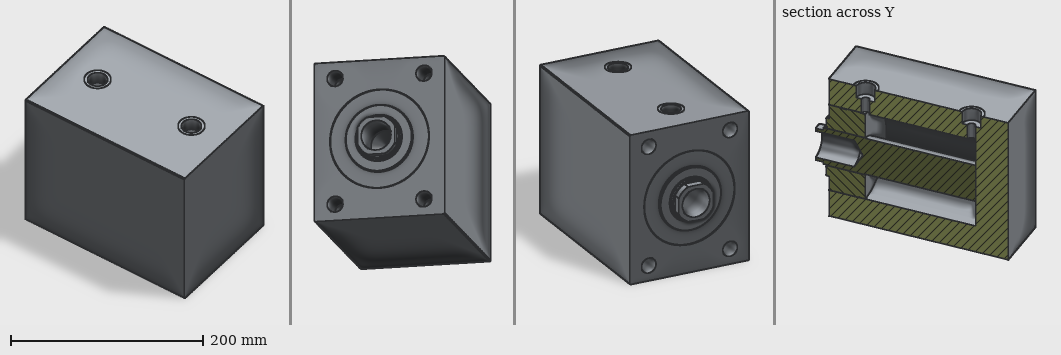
import cadquery as cq
import math

TOTAL_LENGTH = 220.0
BLOCK_WIDTH = 140.0
BLOCK_HEIGHT = 170.0
ROD_PROJECTION = 15.0
BLOCK_LENGTH = TOTAL_LENGTH - ROD_PROJECTION
BLOCK_EDGE_CHAMFER = 1.0

BOLT_DIAMETER = 17.0
BOLT_DEPTH = 35.2
BOLT_SPACING_Y = 95.0
BOLT_SPACING_Z = 135.0
DRILL_POINT_ANGLE = 118.0

PORT_SPACING = 121.0
PORT_INSET = (BLOCK_LENGTH - PORT_SPACING) / 2
SPOTFACE_DIAMETER = 28.0
SPOTFACE_DEPTH = 0.2
PORT_DIAMETER = 21.0
PORT_DEPTH = 14.7
OIL_HOLE_DIAMETER = 8.8

BORE_DIAMETER = 105.2
BORE_DEPTH = PORT_INSET + PORT_SPACING + OIL_HOLE_DIAMETER / 2
BORE_MOUTH_CHAMFER = 0.7
GLAND_LENGTH = PORT_INSET
GLAND_COLLAR_DIAMETER = 72.0
GLAND_COLLAR_PROJECTION = 3.3
GLAND_COLLAR_CHAMFER = 0.9
WIPER_RECESS_DIAMETER = 48.8
WIPER_RECESS_DEPTH = 1.0
WIPER_RECESS_CHAMFER = 0.7

ROD_DIAMETER = 45.0
SHOULDER_PROJECTION = 6.4
SHOULDER_CHAMFER = 0.55
TIP_DIAMETER = ROD_DIAMETER - 2 * SHOULDER_CHAMFER
TIP_ACROSS_FLATS = 40.0
SOCKET_DIAMETER = 32.0
SOCKET_DEPTH = 44.0


def cylinder(diameter, start, end):
    """Cylinder on the X axis between two X positions."""
    return cq.Workplane("YZ", origin=(start, 0, 0)).circle(diameter / 2).extrude(end - start)


def drilled_hole(diameter, depth, start):
    """Cutter on the X axis: a straight hole that ends in a drill point."""
    radius = diameter / 2
    point_length = radius / math.tan(math.radians(DRILL_POINT_ANGLE / 2))
    return (
        cq.Workplane("XZ")
        .moveTo(start, 0)
        .lineTo(start, radius)
        .lineTo(start + depth, radius)
        .lineTo(start + depth + point_length, 0)
        .close()
        .revolve(360, (0, 0, 0), (1, 0, 0))
    )


def port_cutter(x):
    """Cutter for one oil port: spotface, port and an oil hole down to the bore."""
    top = cq.Workplane("XY", origin=(x, 0, BLOCK_HEIGHT / 2))
    spotface = top.circle(SPOTFACE_DIAMETER / 2).extrude(-SPOTFACE_DEPTH)
    port = top.circle(PORT_DIAMETER / 2).extrude(-PORT_DEPTH)
    oil_hole = top.circle(OIL_HOLE_DIAMETER / 2).extrude(-BLOCK_HEIGHT / 2)
    return spotface.union(port).union(oil_hole)


def make_block():
    """Rectangular housing whose front face lies in the plane X = 0."""
    block = (
        cq.Workplane("XY")
        .box(BLOCK_LENGTH, BLOCK_WIDTH, BLOCK_HEIGHT, centered=(False, True, True))
        .edges("|X")
        .chamfer(BLOCK_EDGE_CHAMFER)
    )
    for x in (PORT_INSET, PORT_INSET + PORT_SPACING):
        block = block.cut(port_cutter(x))
    block = block.cut(cylinder(BORE_DIAMETER, 0, BORE_DEPTH))

    bolt_hole = drilled_hole(BOLT_DIAMETER, BOLT_DEPTH, 0)
    for side_y in (-1, 1):
        for side_z in (-1, 1):
            position = (0, side_y * BOLT_SPACING_Y / 2, side_z * BOLT_SPACING_Z / 2)
            block = block.cut(bolt_hole.translate(position))
    return block.faces("<X").edges(cq.selectors.RadiusNthSelector(-1)).chamfer(BORE_MOUTH_CHAMFER)


def make_gland():
    """Guide that closes the front of the bore, with a collar and a shallow wiper recess around the rod."""
    plug = cylinder(BORE_DIAMETER, 0, GLAND_LENGTH)
    collar = (
        cylinder(GLAND_COLLAR_DIAMETER, -GLAND_COLLAR_PROJECTION, 0)
        .faces("<X")
        .edges()
        .chamfer(GLAND_COLLAR_CHAMFER)
    )
    rod_hole = cylinder(ROD_DIAMETER, -GLAND_COLLAR_PROJECTION, GLAND_LENGTH)
    recess_floor = WIPER_RECESS_DEPTH - GLAND_COLLAR_PROJECTION
    recess = cylinder(WIPER_RECESS_DIAMETER, -GLAND_COLLAR_PROJECTION, recess_floor)
    gland = plug.union(collar).cut(rod_hole).cut(recess)
    return gland.faces("<X").edges(cq.selectors.RadiusNthSelector(0)).chamfer(WIPER_RECESS_CHAMFER)


def make_rod():
    """Round rod with wrench flats on its tip and a blind socket in its end."""
    shaft = (
        cylinder(ROD_DIAMETER, -SHOULDER_PROJECTION, BORE_DEPTH)
        .faces("<X")
        .edges()
        .chamfer(SHOULDER_CHAMFER)
    )
    flats = cq.Workplane("XY").box(2 * ROD_PROJECTION, TIP_ACROSS_FLATS, TIP_ACROSS_FLATS)
    tip = cylinder(TIP_DIAMETER, -ROD_PROJECTION, 0).intersect(flats)
    rod = shaft.union(tip)
    return rod.cut(drilled_hole(SOCKET_DIAMETER, SOCKET_DEPTH, -ROD_PROJECTION))


block = make_block()
gland = make_gland()
rod = make_rod()

result = cq.Compound.makeCompound([block.val(), gland.val(), rod.val()])